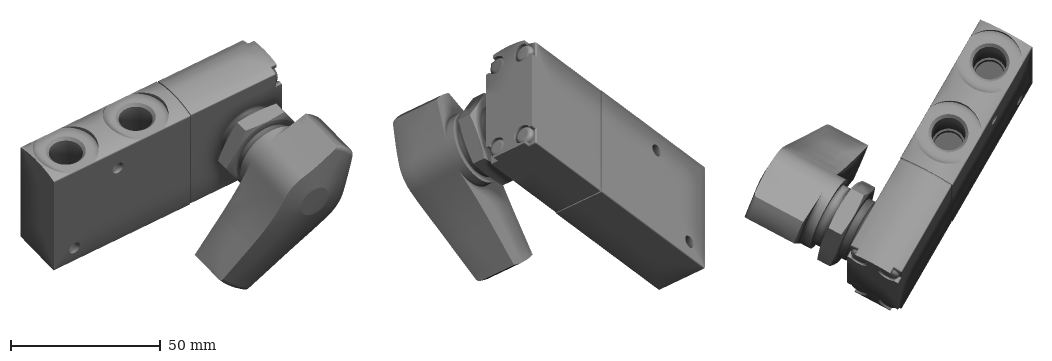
import cadquery as cq
import math

valve_width = 20.0
valve_length = 55.1
crown_height = 43.7
shoulder_height = 42.0
crown_rise = crown_height - shoulder_height
mid_x = valve_width / 2
edge_round = 0.6

port_spacing = 28.3
port_front_y = 11.6
port_centers = [(mid_x, port_front_y), (mid_x, port_front_y + port_spacing)]
spotface_diameter = 22.0
spotface_z = shoulder_height
port_rim_diameter = 13.3
port_bore_diameter = 11.4
port_bore_depth = 13.4
port_core_diameter = 10.0
port_core_depth = 15.4

mount_hole_diameter = 4.4
mount_hole_places = [(25.9, 34.0), (8.35, 6.1)]

lip_length = 0.6
lip_inset = 0.5
end_inset = 0.2
end_back_y = 92.4
end_front_y = valve_length + lip_length
end_right_x = valve_width - end_inset
end_edge_round = 0.5

pocket_width = 3.2
pocket_height = 5.95
pocket_depth = 2.2
screw_head_diameter = 6.8
screw_head_height = 1.8
screw_dome_round = 1.4
screw_inset = 4.4
screw_spacing_z = 33.9
screw_middle_z = screw_inset + screw_spacing_z / 2

axis_z = 21.1
stem_diameter = 22.0
neck_round = 1.15
neck_width = 2 * neck_round
stem_end_x = 34.45

nut_start_x = 24.7
nut_end_x = 30.8
nut_flats = 27.3
nut_corners = nut_flats / math.cos(math.radians(30))
nut_face_diameter = 26.3
nut_chamfer_length = 0.7

collar_radius = 13.0
knob_base_x = 38.0
knob_top_x = 59.5
knob_turn = 45
handle_end_radius = 41.4
handle_end_half_width = 7.1
handle_bend = (24, 8.7)
handle_hub_angle = 74
tail_end_radius = 20.7
tail_end_half_width = 4.5
tail_bend = (-14.6, 7.2)
tail_hub_angle = 121
crown_flat_radius = 5.7
crown_slope_angle = 9.6
knob_end_round = 1.4

handle_end_reach = math.sqrt(handle_end_radius**2 - handle_end_half_width**2)
tail_end_reach = math.sqrt(tail_end_radius**2 - tail_end_half_width**2)

overall_length = 96
knob_turn_angle = math.radians(knob_turn)
tail_back_reach = (
    tail_end_reach * math.cos(knob_turn_angle) + tail_end_half_width * math.sin(knob_turn_angle)
)
axis_y = overall_length - tail_back_reach

margin = 0.1


def axis_cylinder(diameter, start_x, end_x):
    """Round bar on the common axis of stem, nut and knob."""
    plane = cq.Workplane("YZ", origin=(start_x, axis_y, axis_z))
    return plane.circle(diameter / 2).extrude(end_x - start_x)


def revolve_about_axis(points):
    """Solid turned about the common axis from (x, radius) corner points."""
    plane = cq.Workplane("XY", origin=(0, axis_y, axis_z))
    return plane.polyline(points).close().revolve(360, (0, 0, 0), (1, 0, 0))


def arched_bar(front_y, back_y, inset, top_inset):
    """Bar with an arched top, set in on both sides and the bottom."""
    left = inset
    right = valve_width - inset
    return (
        cq.Workplane("XZ", origin=(0, front_y, 0))
        .moveTo(left, inset)
        .lineTo(right, inset)
        .lineTo(right, shoulder_height - top_inset)
        .threePointArc((mid_x, crown_height - top_inset), (left, shoulder_height - top_inset))
        .close()
        .extrude(front_y - back_y)
    )


def port_cutter(center):
    """Spotface and stepped, chamfered bore of one port."""
    rim_chamfer = (port_rim_diameter - port_bore_diameter) / 2
    top = cq.Workplane("XY", origin=(*center, spotface_z))
    spotface = top.circle(spotface_diameter / 2).extrude(crown_rise + margin)
    bore = top.circle(port_bore_diameter / 2).extrude(-port_bore_depth)
    core = top.circle(port_core_diameter / 2).extrude(-port_core_depth)
    rim = (
        top.circle(port_rim_diameter / 2)
        .workplane(offset=-rim_chamfer)
        .circle(port_bore_diameter / 2)
        .loft()
    )
    return spotface.union(bore).union(core).union(rim)


def make_valve():
    body = arched_bar(0, valve_length, 0, 0).edges("|Y").fillet(edge_round)
    for center in port_centers:
        body = body.cut(port_cutter(center))
    holes = (
        cq.Workplane("YZ")
        .pushPoints(mount_hole_places)
        .circle(mount_hole_diameter / 2)
        .extrude(valve_width)
    )
    return body.cut(holes)


def screw_plug(x, z, height):
    """Upright round plug standing on the floor of a screw pocket, along Y."""
    plane = cq.Workplane("XZ", origin=(x, end_back_y - pocket_depth, z))
    return plane.circle(screw_head_diameter / 2).extrude(-height)


def screw_head(x, z):
    """Domed screw head that fills its bore at the base."""
    return screw_plug(x, z, screw_head_height).faces(">Y").edges().fillet(screw_dome_round)


def make_stem():
    """Threaded stem with a round-bottomed neck against the end block."""
    radius = stem_diameter / 2
    neck_middle_x = end_right_x + neck_round
    neck_end_x = end_right_x + neck_width
    return (
        cq.Workplane("XY", origin=(0, axis_y, axis_z))
        .moveTo(mid_x, 0)
        .lineTo(mid_x, radius)
        .lineTo(end_right_x, radius)
        .threePointArc((neck_middle_x, radius - neck_round), (neck_end_x, radius))
        .lineTo(stem_end_x, radius)
        .lineTo(stem_end_x, 0)
        .close()
        .revolve(360, (0, 0, 0), (1, 0, 0))
    )


def corner_box(x_side, z_side):
    """Box that takes one rear corner off the end block; the sides are -1 or 1."""
    box = cq.Workplane("XY").box(2 * pocket_width, 2 * pocket_depth, 2 * pocket_height)
    return box.translate((mid_x + x_side * mid_x, end_back_y, axis_z + z_side * axis_z))


def outer_edges():
    """Selector for the long edges of the end block and the outer rims of its pockets."""
    near_y = end_front_y + margin
    far_y = end_back_y - margin
    whole = cq.selectors.BoxSelector(
        (0, near_y, 0),
        (valve_width, far_y, crown_height),
    )
    inner = cq.selectors.BoxSelector(
        (end_edge_round, near_y, end_edge_round),
        (valve_width - end_edge_round, far_y, shoulder_height + margin),
    )
    return whole - inner


def make_end_block():
    block = arched_bar(end_front_y, end_back_y, end_inset, 0)
    sides = [(x_side, z_side) for x_side in (-1, 1) for z_side in (-1, 1)]
    for x_side, z_side in sides:
        block = block.cut(corner_box(x_side, z_side))
    block = block.edges(outer_edges()).fillet(end_edge_round)
    for x_side, z_side in sides:
        screw_x = mid_x + x_side * (mid_x - screw_inset)
        screw_z = screw_middle_z + z_side * screw_spacing_z / 2
        bore = screw_plug(screw_x, screw_z, pocket_depth)
        block = block.cut(bore).union(screw_head(screw_x, screw_z))
    lip = arched_bar(valve_length, end_front_y, lip_inset, lip_inset)
    return block.union(lip).union(make_stem())


def make_nut():
    length = nut_end_x - nut_start_x
    plane = cq.Workplane("YZ", origin=(nut_start_x, axis_y, axis_z))
    hexagon = plane.polygon(6, nut_corners).extrude(length)
    face_radius = nut_face_diameter / 2
    corner_radius = nut_corners / 2
    envelope = revolve_about_axis([
        (nut_start_x, 0),
        (nut_start_x, face_radius),
        (nut_start_x + nut_chamfer_length, corner_radius),
        (nut_end_x - nut_chamfer_length, corner_radius),
        (nut_end_x, face_radius),
        (nut_end_x, 0),
    ])
    bore = axis_cylinder(stem_diameter, nut_start_x, nut_end_x)
    return hexagon.intersect(envelope).cut(bore)


def on_hub(angle):
    """Point of the hub circle at an angle in degrees from the handle direction."""
    turn = math.radians(angle)
    return cq.Vector(collar_radius * math.cos(turn), collar_radius * math.sin(turn))


def end_arc(corner, tip_x):
    """Arc from one corner of a lever end over its tip to the mirrored corner."""
    return cq.Edge.makeThreePointArc(corner, cq.Vector(tip_x, 0), cq.Vector(corner.x, -corner.y))


def knob_outline():
    """Lever outline around the hub centre, with the handle along +X and the tail along -X."""
    handle_corner = cq.Vector(handle_end_reach, handle_end_half_width)
    handle_curve_start = cq.Vector(*handle_bend)
    hub_front = on_hub(handle_hub_angle)
    hub_top = on_hub((handle_hub_angle + tail_hub_angle) / 2)
    hub_back = on_hub(tail_hub_angle)
    tail_curve_start = cq.Vector(*tail_bend)
    tail_corner = cq.Vector(-tail_end_reach, tail_end_half_width)
    handle_line = handle_curve_start - handle_corner
    tail_line = tail_curve_start - tail_corner
    half = [
        cq.Edge.makeLine(handle_corner, handle_curve_start),
        cq.Edge.makeTangentArc(handle_curve_start, handle_line, hub_front),
        cq.Edge.makeThreePointArc(hub_front, hub_top, hub_back),
        cq.Edge.makeTangentArc(tail_curve_start, tail_line, hub_back),
        cq.Edge.makeLine(tail_curve_start, tail_corner),
    ]
    other_half = [edge.mirror("XZ") for edge in half]
    ends = [end_arc(handle_corner, handle_end_radius), end_arc(tail_corner, -tail_end_radius)]
    return cq.Wire.combine(half + other_half + ends)[0]


def crown_x(radius):
    """Position along X of the knob's conical crown at a distance from the axis."""
    return knob_top_x - (radius - crown_flat_radius) * math.tan(math.radians(crown_slope_angle))


def make_knob():
    handle_y = -math.cos(knob_turn_angle)
    handle_z = -math.sin(knob_turn_angle)
    plane = cq.Plane((knob_base_x, axis_y, axis_z), (0, handle_y, handle_z), (1, 0, 0))
    outline = knob_outline().moved(cq.Location(plane))
    lever = cq.Workplane(plane).add(outline).toPending().extrude(knob_top_x - knob_base_x)
    reach = handle_end_radius + margin
    crown = revolve_about_axis([
        (knob_base_x, 0),
        (knob_base_x, reach),
        (crown_x(reach), reach),
        (knob_top_x, crown_flat_radius),
        (knob_top_x, 0),
    ])
    lever = lever.intersect(crown)
    for tip in (handle_end_radius, -tail_end_radius):
        rim_middle = (crown_x(abs(tip)), axis_y + tip * handle_y, axis_z + tip * handle_z)
        rim = cq.selectors.NearestToPointSelector(rim_middle)
        lever = lever.edges(rim).fillet(knob_end_round)
    collar = axis_cylinder(2 * collar_radius, stem_end_x, knob_base_x)
    return lever.union(collar)


valve = make_valve()
end_block = make_end_block()
nut = make_nut()
knob = make_knob()

result = cq.Compound.makeCompound([valve.val(), end_block.val(), nut.val(), knob.val()])